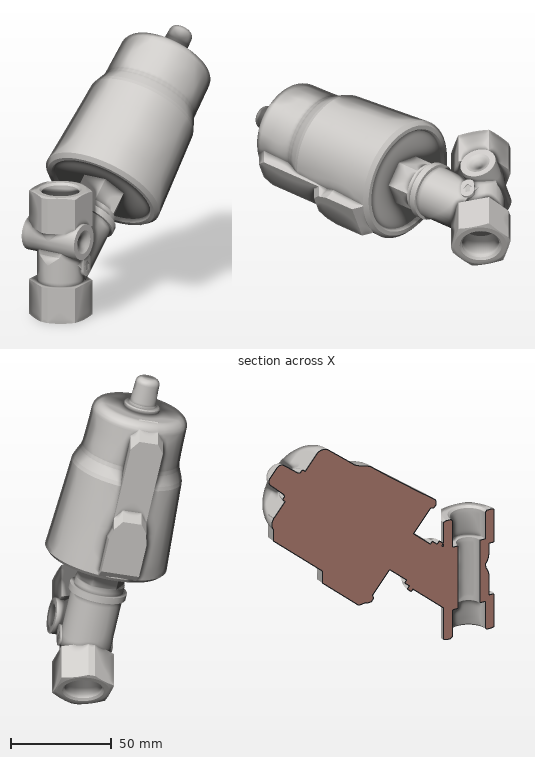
import cadquery as cq
import math


body_height = 66.0
nut_height = 18.8
nut_across_flats = 27.3
nut_depth = 29.5
nut_chamfer_radius = 13.0
nut_chamfer_drop = 0.3
pipe_radius = 11.7
bore_diameter = 12.5
thread_diameter = 18.7
thread_depth = 15.6
thread_chamfer = 1.0

boss_diameter = 18.0
boss_length = 30.8
boss_y = boss_diameter / 2 - pipe_radius
boss_z = 9.0
dimple_diameter = 12.0
dimple_depth = 3.5

relief_bottom_z = -3.6
relief_arc_radius = 7.3
relief_arc_height = 4.5
relief_edge_slope = 0.22

pad_y = 3.1
pad_z = -5.0
pad_width = 6.5
pad_height = 11.3
pad_span = nut_across_flats
arrow_height = 5.3
arrow_head_width = 4.7
arrow_shaft_width = 2.3
arrow_depth = 0.4

slope = 40.0
axis_z = -10.3
neck_diameter = 26.0
neck_start = 2.2
flange_diameter = 29.0
flange_start = 31.0
flange_end = 34.3
collar_diameter = 25.0
collar_end = 37.9
shaft_across_flats = 21.5

housing_start = 48.7
housing_radius = 30.9
housing_chamfer = 2.0
shoulder_start = 97.4
shoulder_radius = 28.0
shoulder_edge = (27.4, 99.3)
waist_start = (25.2, 104.4)
waist_end = (24.7, 106.5)
cap_radius = 24.0
cap_end = 130.5
cap_fillet = 5.0
recess_mouth_radius = 26.9
recess_floor_diameter = 51.7
recess_depth = 1.7

washer_diameter = 18.2
washer_end = 132.5
washer_chamfer = 0.5
ring_radius = 7.1
ring_end = 133.4
stem_radius = 6.5
stem_tip_radius = 6.0
stem_end = 146.7
stem_fillet = 3.0

rail_depth = 33.9
rail_shallow_depth = 28.8
rail_start = 50.6
rail_bevel = 3.6
rail_front_end = 81.5
rail_back_end = 122.5
rail_front_width = 19.5
rail_back_width = 16.6
rail_step_start = 71.4
rail_step_end = 76.2
rail_corner = 3.5

sin_slope = math.sin(math.radians(slope))
cos_slope = math.cos(math.radians(slope))


def slope_plane():
    """Plane x = 0 whose local x is the downward radius and local y runs along the sloping axis."""
    return cq.Workplane(cq.Plane((0, 0, axis_z), (0, sin_slope, -cos_slope), (1, 0, 0)))


def slope_turned(profile):
    """Solid of revolution about the sloping axis from (radius, along) points."""
    return slope_plane().polyline(profile).close().revolve(360, (0, 0), (0, 1))


def slope_cylinder(radius, start, end):
    return slope_turned([(0, start), (radius, start), (radius, end), (0, end)])


def make_nut():
    """Upper hex end, chamfered on its outer face."""
    top = body_height / 2
    corner_radius = nut_across_flats / math.sqrt(3)
    hexagon = (
        cq.Workplane("XY", origin=(0, 0, top - nut_height))
        .polygon(6, 2 * corner_radius)
        .extrude(nut_height)
        .rotate((0, 0, 0), (0, 0, 1), 30)
    )
    blunting = cq.Workplane("XY").box(2 * corner_radius, nut_depth, 2 * body_height)
    outer = nut_across_flats
    drop = nut_chamfer_drop * (outer - nut_chamfer_radius)
    envelope = (
        cq.Workplane("XZ")
        .polyline([(0, 0), (outer, 0), (outer, top - drop), (nut_chamfer_radius, top), (0, top)])
        .close()
        .revolve(360, (0, 0), (0, 1))
    )
    return hexagon.intersect(blunting).intersect(envelope)


def make_pipe():
    """Flow pipe with the curved relief in its front."""
    half_length = (body_height - nut_height) / 2
    pipe = cq.Workplane("XY").circle(pipe_radius).extrude(half_length, both=True)
    arc_center_y = relief_arc_radius - pipe_radius
    sweep = math.asin(relief_arc_height / relief_arc_radius)
    arc_mid = (
        arc_center_y - relief_arc_radius * math.cos(sweep / 2),
        relief_bottom_z + relief_arc_radius * math.sin(sweep / 2),
    )
    arc_end = (
        arc_center_y - relief_arc_radius * math.cos(sweep),
        relief_bottom_z + relief_arc_height,
    )
    rise = boss_z - arc_end[1]
    relief = (
        cq.Workplane("YZ")
        .moveTo(-pipe_radius, relief_bottom_z)
        .threePointArc(arc_mid, arc_end)
        .line(relief_edge_slope * rise, rise)
        .lineTo(-2 * pipe_radius, boss_z)
        .lineTo(-2 * pipe_radius, relief_bottom_z)
        .close()
        .extrude(pipe_radius, both=True)
    )
    return pipe.cut(relief)


def make_boss():
    return (
        cq.Workplane("YZ", origin=(-boss_length / 2, boss_y, boss_z))
        .circle(boss_diameter / 2)
        .extrude(boss_length)
    )


def make_dimples():
    """Conical cutters for the two ends of the cross boss."""
    cones = [
        cq.Solid.makeCone(
            dimple_diameter / 2,
            0,
            dimple_depth,
            cq.Vector(side * boss_length / 2, boss_y, boss_z),
            cq.Vector(-side, 0, 0),
        )
        for side in (-1, 1)
    ]
    return cq.Workplane(cones[0]).union(cq.Workplane(cones[1]))


def make_pads():
    """Slot-shaped pads through the body, so that one stands out on each side."""
    return (
        cq.Workplane("YZ", origin=(0, pad_y, pad_z))
        .slot2D(pad_height, pad_width, 90)
        .extrude(pad_span / 2, both=True)
    )


def make_arrows():
    """Upward arrow cutters for the two pads."""
    head = arrow_head_width / 2
    shaft = arrow_shaft_width / 2
    half = arrow_height / 2
    outline = [(-shaft, -half), (shaft, -half), (shaft, 0), (head, 0), (0, half), (-head, 0), (-shaft, 0)]
    arrow = cq.Workplane("YZ", origin=(0, pad_y, pad_z)).polyline(outline).close()
    arrow = arrow.extrude(arrow_depth)
    face_x = pad_span / 2
    return arrow.translate((face_x - arrow_depth, 0, 0)).union(arrow.translate((-face_x, 0, 0)))


def make_neck():
    neck = slope_cylinder(neck_diameter / 2, neck_start, flange_start)
    flange = slope_cylinder(flange_diameter / 2, flange_start, flange_end)
    collar = slope_cylinder(collar_diameter / 2, flange_end, collar_end)
    shaft_plane = cq.Plane((0, 0, axis_z), (1, 0, 0), (0, cos_slope, sin_slope))
    shaft = (
        cq.Workplane(shaft_plane)
        .workplane(offset=flange_start)
        .polygon(6, 2 * shaft_across_flats / math.sqrt(3))
        .extrude(housing_start + 2 * recess_depth - flange_start)
    )
    return neck.union(flange).union(collar).union(shaft)


def make_housing():
    """Turned actuator housing with a shallow recess in its lower end."""
    floor = housing_start + recess_depth
    housing = slope_turned([
        (0, floor),
        (recess_floor_diameter / 2, floor),
        (recess_mouth_radius, housing_start),
        (housing_radius - housing_chamfer, housing_start),
        (housing_radius, housing_start + housing_chamfer),
        (shoulder_radius, shoulder_start),
        shoulder_edge,
        waist_start,
        waist_end,
        (cap_radius, cap_end),
        (0, cap_end),
    ])
    top_center = (0, cap_end * cos_slope, axis_z + cap_end * sin_slope)
    cap_edge = cq.selectors.NearestToPointSelector(top_center)
    return housing.faces(cap_edge).edges().fillet(cap_fillet)


def make_indicator():
    washer_radius = washer_diameter / 2
    washer = slope_turned([
        (0, cap_end),
        (washer_radius, cap_end),
        (washer_radius, washer_end - washer_chamfer),
        (washer_radius - washer_chamfer, washer_end),
        (ring_radius, washer_end),
        (stem_radius, ring_end),
        (0, ring_end),
    ])
    stem = slope_turned([
        (0, ring_end),
        (stem_radius, ring_end),
        (stem_tip_radius, stem_end),
        (0, stem_end),
    ])
    tip_center = (0, stem_end * cos_slope, axis_z + stem_end * sin_slope)
    stem = stem.faces(cq.selectors.NearestToPointSelector(tip_center)).edges().fillet(stem_fillet)
    return washer.union(stem)


def rail_block(depth, bevel, end):
    """Flat-bottomed block under the housing; its far end is vertical with bevelled corners."""
    inner = cap_radius - cap_fillet
    lean = (depth - inner) * math.tan(math.radians(slope))
    side = [(depth, rail_start + bevel), (depth, end), (inner, end + lean), (inner, rail_start)]
    if bevel:
        side.append((depth - bevel, rail_start))
    block = slope_plane().polyline(side).close().extrude(rail_front_width / 2, both=True)
    front = rail_front_width / 2
    back = rail_back_width / 2
    far = end + lean
    half_plan = [(front, rail_start), (front, rail_step_start), (back, rail_step_end), (back, far)]
    mirrored_half = [(-x, along) for x, along in reversed(half_plan)]
    plan_plane = cq.Plane((0, 0, axis_z), (1, 0, 0), (0, sin_slope, -cos_slope))
    plan = cq.Workplane(plan_plane).polyline([(x, -along) for x, along in half_plan + mirrored_half])
    block = block.intersect(plan.close().extrude(depth))
    return block.faces(">Y").edges("|Z").chamfer(rail_corner)


def make_rail():
    front = rail_block(rail_depth, rail_bevel, rail_front_end)
    back = rail_block(rail_shallow_depth, 0, rail_back_end)
    return front.union(back)


def make_bore():
    """Straight bore with a wider, chamfered thread hole at each end."""
    end = body_height / 2
    thread_radius = thread_diameter / 2
    half_profile = [
        (0, 0),
        (bore_diameter / 2, 0),
        (bore_diameter / 2, end - thread_depth),
        (thread_radius, end - thread_depth),
        (thread_radius, end - thread_chamfer),
        (thread_radius + thread_chamfer, end),
        (0, end),
    ]
    upper = cq.Workplane("XZ").polyline(half_profile).close().revolve(360, (0, 0), (0, 1))
    return upper.union(upper.mirror("XY"))


nut = make_nut()
result = make_pipe().union(nut).union(nut.mirror("XY"))
result = result.union(make_neck()).union(make_boss()).union(make_pads())
result = result.cut(make_arrows()).cut(make_dimples()).cut(make_bore())
result = result.union(make_housing()).union(make_rail()).union(make_indicator())